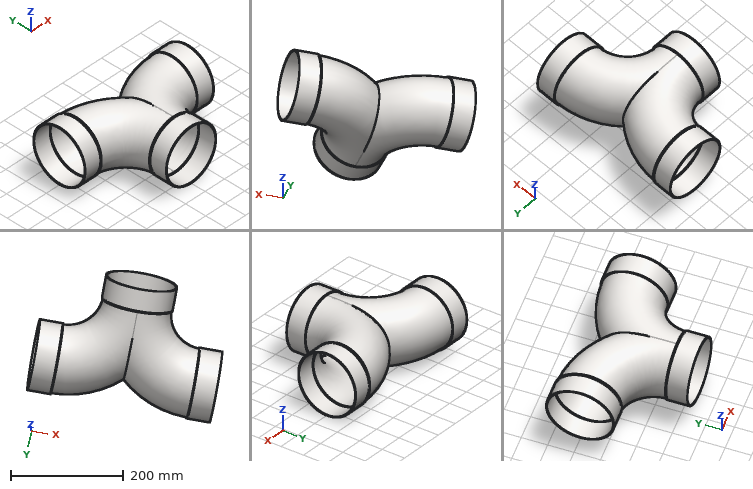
import cadquery as cq

overall_length = 330.0
socket_outer_diameter = 128.7
socket_inner_diameter = 125.0
socket_length = 42.0
pipe_outer_diameter = 125.0
pipe_bore_diameter = 121.0
bend_radius = 124.7

socket_depth = overall_length / 2 - bend_radius
inlet_shoulder_y = -bend_radius
inlet_face_y = inlet_shoulder_y - socket_length


def half_bend(diameter):
    """Solid elbow from the inlet to the +X outlet, trimmed at the symmetry plane X = 0."""
    elbow = (
        cq.Workplane("XZ", origin=(0, inlet_shoulder_y, 0))
        .circle(diameter / 2)
        .revolve(90, (bend_radius, 0, 0), (bend_radius, -1, 0))
    )
    trim_size = 2 * overall_length
    positive_side = cq.Workplane("XY").box(trim_size, trim_size, trim_size, centered=(False, True, True))
    return elbow.intersect(positive_side)


def twin_bend(diameter):
    """Both elbows, meeting in a mitre on the symmetry plane."""
    elbow = half_bend(diameter)
    return elbow.union(elbow.mirror("YZ"))


def inlet_cylinder(diameter, length):
    """Cylinder running inward from the inlet face."""
    return cq.Workplane("XZ", origin=(0, inlet_face_y, 0)).circle(diameter / 2).extrude(-length)


def end_cylinders(diameter, length):
    """Cylinders running inward from the three open faces."""
    right_face = cq.Workplane("YZ", origin=(overall_length / 2, 0, 0))
    right = right_face.circle(diameter / 2).extrude(-length)
    return inlet_cylinder(diameter, length).union(right).union(right.mirror("YZ"))


outside = twin_bend(pipe_outer_diameter).union(end_cylinders(socket_outer_diameter, socket_length))

result = (
    outside.cut(twin_bend(pipe_bore_diameter))
    .cut(inlet_cylinder(pipe_bore_diameter, socket_length))
    .cut(end_cylinders(socket_inner_diameter, socket_depth))
)

back_y = socket_outer_diameter / 2
result = result.translate((0, -(back_y + inlet_face_y) / 2, 0))